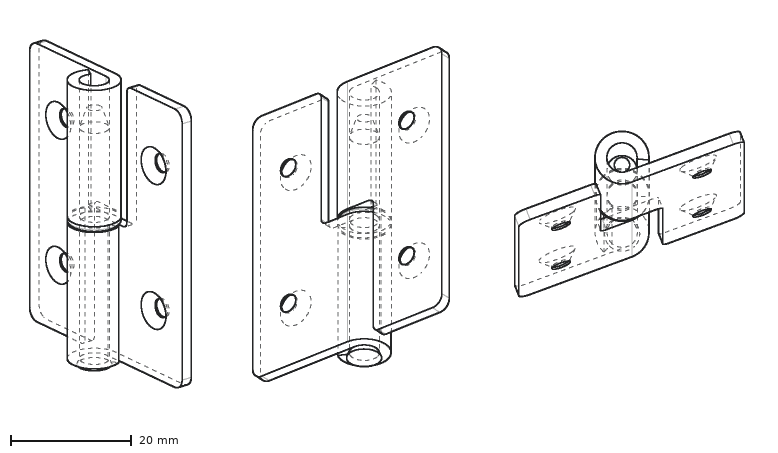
import cadquery as cq
import math

width = 40.0
total_height = 51.0
foot_height = 1.0
leaf_height = total_height - foot_height
middle_z = foot_height + leaf_height / 2

thickness = 2.0
knuckle_radius = 4.5
bore_radius = knuckle_radius - thickness
curl_end_angle = 153.5
collar_height = 1.0
knuckle_bottom = middle_z + collar_height / 2

clearance = 1.0
relief_x = -(knuckle_radius + clearance)
outer_corner_radius = 2.0
inner_corner_radius = 1.0

hole_x = 12.5
hole_offset_z = 13.0
hole_diameter = 3.2
countersink_diameter = 6.5
countersink_angle = 90.0

foot_radius = 2.9
taper_start_z = 42.5
taper_height = 3.55
tip_radius = 1.3


def polar(radius, angle):
    """Point at the given radius and angle (degrees) around the hinge axis."""
    return (radius * math.cos(math.radians(angle)), radius * math.sin(math.radians(angle)))


def plate():
    """Flat sheet from the outer edge to the hinge axis, relieved below the knuckle."""
    blank = (
        cq.Workplane("XZ", origin=(0, knuckle_radius, 0))
        .moveTo(-width / 2, foot_height)
        .lineTo(relief_x, foot_height)
        .lineTo(relief_x, knuckle_bottom)
        .lineTo(0, knuckle_bottom)
        .lineTo(0, total_height)
        .lineTo(-width / 2, total_height)
        .close()
        .extrude(thickness)
    )
    relief_edges = blank.edges(cq.selectors.BoxSelector(
        (relief_x - 0.5, 0, 0), (relief_x + 0.5, width, total_height)
    )).edges("|Y")
    blank = blank.newObject(relief_edges.vals()).fillet(inner_corner_radius)
    return blank.faces("<X").edges("|Y").fillet(outer_corner_radius)


def knuckle():
    """Sheet rolled around the pin, from the plate's end round to the open slit."""
    middle_angle = (90 + curl_end_angle - 360) / 2
    return (
        cq.Workplane("XY", origin=(0, 0, knuckle_bottom))
        .moveTo(0, knuckle_radius)
        .threePointArc(polar(knuckle_radius, middle_angle), polar(knuckle_radius, curl_end_angle))
        .lineTo(*polar(bore_radius, curl_end_angle))
        .threePointArc(polar(bore_radius, middle_angle), (0, bore_radius))
        .close()
        .extrude(total_height - knuckle_bottom)
    )


def leaf():
    """One hinge leaf: plate and upper knuckle, with holes countersunk on the knuckle side."""
    hole_points = [
        (-hole_x, middle_z - hole_offset_z),
        (-hole_x, middle_z + hole_offset_z),
    ]
    return (
        plate()
        .union(knuckle())
        .copyWorkplane(cq.Workplane("XZ", origin=(0, bore_radius, 0)))
        .pushPoints(hole_points)
        .cskHole(hole_diameter, countersink_diameter, countersink_angle)
    )


def pin():
    """Revolved pin: flared foot, shank, round-rimmed collar and tapered tip."""
    rim_radius = collar_height / 2
    rim_start = knuckle_radius - rim_radius
    collar_bottom = middle_z - rim_radius
    return (
        cq.Workplane("XZ")
        .moveTo(0, 0)
        .lineTo(foot_radius, 0)
        .lineTo(bore_radius, foot_height)
        .lineTo(bore_radius, collar_bottom)
        .lineTo(rim_start, collar_bottom)
        .radiusArc((knuckle_radius, middle_z), -rim_radius)
        .radiusArc((rim_start, knuckle_bottom), -rim_radius)
        .lineTo(bore_radius, knuckle_bottom)
        .lineTo(bore_radius, taper_start_z)
        .lineTo(tip_radius, taper_start_z + taper_height)
        .lineTo(0, taper_start_z + taper_height)
        .close()
        .revolve(360, (0, 0, 0), (0, 1, 0))
    )


leaves = []
for turn in (0, 180):
    leaves.append(leaf().rotate((0, 0, middle_z), (0, 1, middle_z), turn))

hinge_pin = pin()

result = cq.Compound.makeCompound([*[each.solids().val() for each in leaves], hinge_pin.val()])